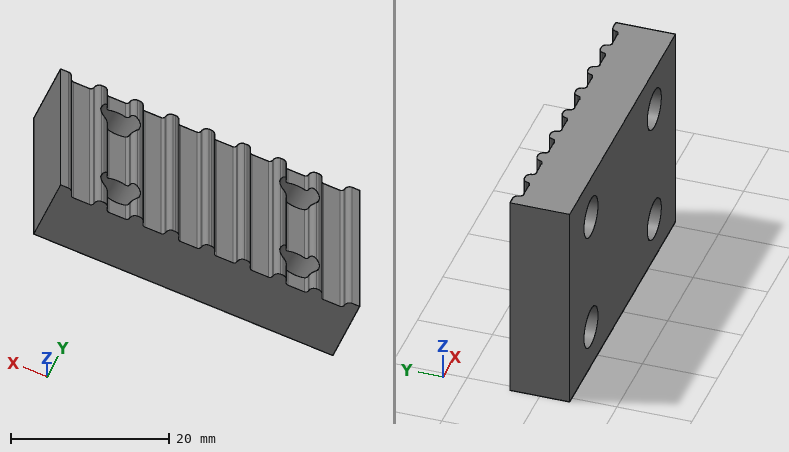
import cadquery as cq
import math

length = 41.8
thickness = 8.0
height = 29.0

groove_count = 8
groove_span = 35.0
groove_pitch = groove_span / (groove_count - 1)
groove_depth = 1.05
groove_mid_width = 3.2
flank_angle = 15.0
crest_radius = 0.75
root_radius = 0.4

hole_diameter = 5.5
hole_spacing_x = 25.0
hole_spacing_z = 17.0


def make_plate():
    return cq.Workplane("XY").box(length, thickness, height)


def make_groove(center_x):
    """Groove with sloped flanks, blended by tangent arcs into the floor and the tooth crests."""
    angle = math.radians(flank_angle)
    crest_y = thickness / 2
    floor_y = crest_y - groove_depth
    flank_shift = groove_depth / 2 * math.tan(angle)
    corner_tangent = math.tan((math.pi / 2 - angle) / 2)

    crest_tangent = crest_radius * corner_tangent
    root_tangent = root_radius * corner_tangent

    mouth_corner = groove_mid_width / 2 + flank_shift
    floor_corner = groove_mid_width / 2 - flank_shift
    half_mouth = mouth_corner + crest_tangent
    half_floor = floor_corner - root_tangent
    flank_top_x = mouth_corner - crest_tangent * math.sin(angle)
    flank_top_y = crest_y - crest_tangent * math.cos(angle)
    flank_foot_x = floor_corner + root_tangent * math.sin(angle)
    flank_foot_y = floor_y + root_tangent * math.cos(angle)

    return (
        cq.Workplane("XY", origin=(center_x, 0, -height / 2))
        .moveTo(-half_mouth, crest_y)
        .radiusArc((-flank_top_x, flank_top_y), crest_radius)
        .lineTo(-flank_foot_x, flank_foot_y)
        .radiusArc((-half_floor, floor_y), -root_radius)
        .lineTo(half_floor, floor_y)
        .radiusArc((flank_foot_x, flank_foot_y), -root_radius)
        .lineTo(flank_top_x, flank_top_y)
        .radiusArc((half_mouth, crest_y), crest_radius)
        .close()
        .extrude(height)
    )


def cut_grooves(body):
    first_x = -groove_span / 2
    for index in range(groove_count):
        body = body.cut(make_groove(first_x + index * groove_pitch))
    return body


def drill_holes(body):
    return (
        body.faces("<Y")
        .workplane(centerOption="CenterOfBoundBox")
        .rarray(hole_spacing_x, hole_spacing_z, 2, 2)
        .hole(hole_diameter)
    )


result = drill_holes(cut_grooves(make_plate()))